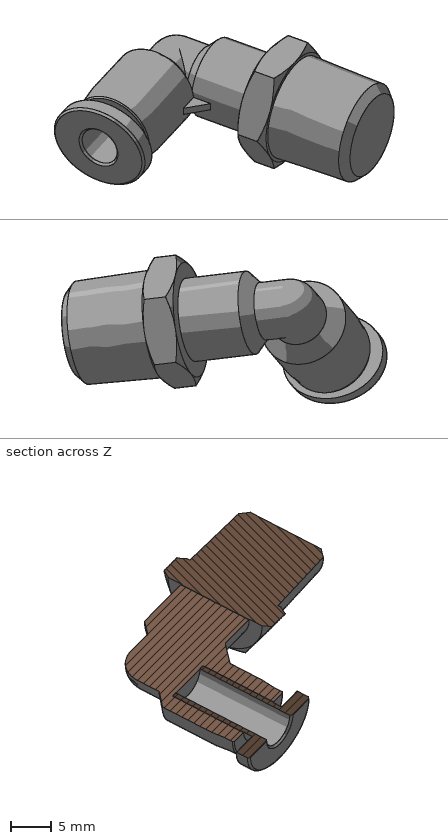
import cadquery as cq
import math


elbow_radius = 3.6
thread_arm_radius = 10.4 / 2
thread_arm_cone_start = 3.62
tube_arm_radius = 11.0 / 2
tube_arm_cone_start = 3.3
shoulder = 5.18
taper_start = 12.45
taper_end = 14.5
mouth_radius = 10.6 / 2
mouth_end = 15.87
mouth_chamfer = 0.17
rib_thickness = 0.95
rib_reach = 7.95
rib_drop = 7.65

hex_start = 12.97
hex_width = 4.05
hex_across_flats = 14.3
hex_chamfer_angle = math.radians(30)
thread_root_radius = 6.73
thread_tip_radius = 6.45
tip_chamfer_start = 26.98
tip_face_radius = 5.4
stud_end = 28.0

sleeve_radius = 6.3 / 2
sleeve_bore_radius = 5.0 / 2
bore_chamfer = 0.28
collar_start = 17.1
collar_end = 19.1
collar_length = 12.97
collar_height = 11.0
collar_chamfer = 0.28


def turned_about_x(outline):
    """Revolve (x, radius) points about the X axis."""
    return cq.Workplane("XY").polyline(outline).close().revolve(360, (0, 0), (1, 0))


def turned_about_tube_axis(outline):
    """Revolve (radius, distance along -Y) points about the Y axis."""
    points = [(radius, -distance) for radius, distance in outline]
    return cq.Workplane("XY").polyline(points).close().revolve(360, (0, 0), (0, 1))


def along_tube_axis(start):
    """Workplane across the tube arm, facing -Y, at a distance from the origin."""
    return cq.Workplane("XZ", origin=(0, -start, 0))


def make_rib():
    """Triangular web in the inner corner; its right-angle corner lies inside the arms."""
    return (
        cq.Workplane("XY")
        .workplane(offset=-rib_thickness / 2)
        .polyline([
            (elbow_radius, -elbow_radius),
            (rib_reach, -elbow_radius),
            (rib_reach, -shoulder),
            (tube_arm_radius, -rib_drop),
            (elbow_radius, -rib_drop),
        ])
        .close()
        .extrude(rib_thickness)
    )


def make_housing():
    thread_arm = turned_about_x([
        (0, 0),
        (0, elbow_radius),
        (thread_arm_cone_start, elbow_radius),
        (shoulder, thread_arm_radius),
        (hex_start, thread_arm_radius),
        (hex_start, 0),
    ])
    tube_arm = turned_about_tube_axis([
        (0, 0),
        (elbow_radius, 0),
        (elbow_radius, tube_arm_cone_start),
        (tube_arm_radius, shoulder),
        (tube_arm_radius, taper_start),
        (mouth_radius, taper_end),
        (mouth_radius, mouth_end - mouth_chamfer),
        (mouth_radius - mouth_chamfer, mouth_end),
        (0, mouth_end),
    ])
    corner = cq.Workplane("XY").sphere(elbow_radius)
    sleeve_recess = along_tube_axis(shoulder).circle(sleeve_radius).extrude(mouth_end - shoulder)
    return thread_arm.union(tube_arm).union(corner).union(make_rib()).cut(sleeve_recess)


def make_stud():
    hex_end = hex_start + hex_width
    corner_radius = hex_across_flats / 2 / math.cos(math.pi / 6)
    flat_radius = hex_across_flats / 2
    chamfer_depth = (corner_radius - flat_radius) * math.tan(hex_chamfer_angle)

    hexagon = (
        cq.Workplane("YZ", origin=(hex_start, 0, 0))
        .polygon(6, 2 * corner_radius)
        .extrude(hex_width)
    )
    chamfer_envelope = turned_about_x([
        (hex_start, 0),
        (hex_start, flat_radius),
        (hex_start + chamfer_depth, corner_radius),
        (hex_end - chamfer_depth, corner_radius),
        (hex_end, flat_radius),
        (hex_end, 0),
    ])
    thread = turned_about_x([
        (hex_end, 0),
        (hex_end, thread_root_radius),
        (tip_chamfer_start, thread_tip_radius),
        (stud_end, tip_face_radius),
        (stud_end, 0),
    ])
    return hexagon.intersect(chamfer_envelope).union(thread)


def make_sleeve():
    collar = (
        along_tube_axis(collar_start)
        .ellipse(collar_length / 2, collar_height / 2)
        .extrude(collar_end - collar_start)
        .faces("<Y").chamfer(collar_chamfer)
    )
    tube = along_tube_axis(shoulder).circle(sleeve_radius).extrude(collar_start - shoulder)
    bore = turned_about_tube_axis([
        (0, shoulder),
        (sleeve_bore_radius, shoulder),
        (sleeve_bore_radius, collar_end - bore_chamfer),
        (sleeve_bore_radius + bore_chamfer, collar_end),
        (0, collar_end),
    ])
    return collar.union(tube).cut(bore)


housing = make_housing()
stud = make_stud()
sleeve = make_sleeve()

result = cq.Compound.makeCompound([housing.val(), stud.val(), sleeve.val()])